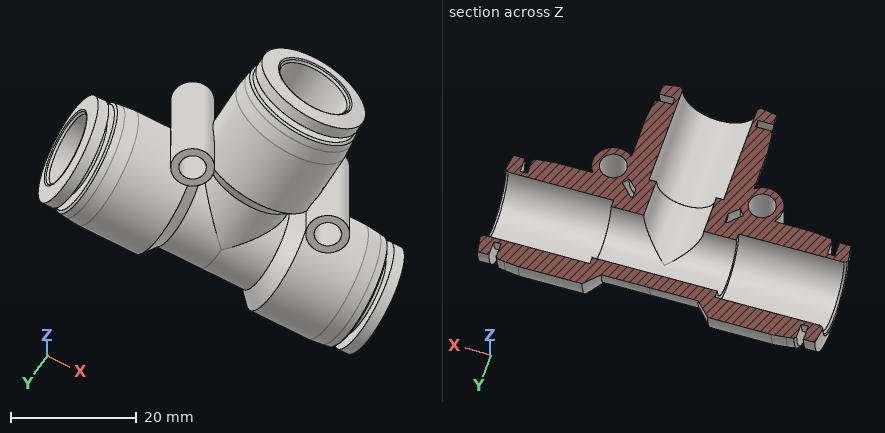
import cadquery as cq

run_half_length = 28.65
branch_length = 29.85
body_radius = 10.25
neck_radius = 7.75

ring_front = 0.45
ring_back = 2.4
body_face = 3.55
face_chamfer_end = 3.85
nose_end = 5.1
taper_end = 7.5
shoulder_start = 18.15
shoulder_end = 20.55

ring_radius = 9.55
ring_lip_radius = 6.75
collar_radius = 7.0
body_face_radius = 9.4
chamfer_radius = 9.85
nose_radius = 10.0

socket_radius = 6.2
lead_in_radius = 6.5
socket_depth = 18.15
bore_radius = 5.0
lead_in_mid_depth = 0.2
lead_in_depth = 0.6

sleeve_x = 12.45
sleeve_y = -12.4
sleeve_radius = 3.5
sleeve_hole_radius = 2.2


def revolved_about_x(profile):
    """Revolve an (x, radius) outline about the X axis."""
    return cq.Workplane("XY").polyline(profile).close().revolve(360, (0, 0, 0), (1, 0, 0))


def port_body(length):
    """Solid port along +X, from the tee centre to its open end."""
    outline = [
        (0, ring_lip_radius),
        (ring_front, ring_radius),
        (ring_back, ring_radius),
        (ring_back, collar_radius),
        (body_face, collar_radius),
        (body_face, body_face_radius),
        (face_chamfer_end, chamfer_radius),
        (nose_end, nose_radius),
        (taper_end, body_radius),
        (shoulder_start, body_radius),
        (shoulder_end, neck_radius),
        (length, neck_radius),
    ]
    profile = [(length - depth, radius) for depth, radius in outline]
    return revolved_about_x([(length, 0)] + profile + [(0, 0)])


def port_passage(length):
    """Stepped passage along +X, from the tee centre to the open end."""
    return revolved_about_x([
        (length, 0),
        (length, ring_lip_radius),
        (length - lead_in_mid_depth, lead_in_radius),
        (length - lead_in_depth, socket_radius),
        (length - socket_depth, socket_radius),
        (length - socket_depth, bore_radius),
        (0, bore_radius),
        (0, 0),
    ])


def tee(make_port):
    """Join two run ports and the branch port made by the given function."""
    run_port = make_port(run_half_length)
    opposite_port = run_port.mirror("YZ")
    branch_port = make_port(branch_length).rotate((0, 0, 0), (0, 0, 1), -90)
    return run_port.union(opposite_port).union(branch_port)


def sleeve_cylinders(radius):
    """Vertical cylinders at both sleeve positions, as tall as the bodies."""
    return (
        cq.Workplane("XY", origin=(0, 0, -body_radius))
        .pushPoints([(-sleeve_x, sleeve_y), (sleeve_x, sleeve_y)])
        .circle(radius)
        .extrude(2 * body_radius)
    )


fitting = tee(port_body).union(sleeve_cylinders(sleeve_radius))
result = fitting.cut(tee(port_passage)).cut(sleeve_cylinders(sleeve_hole_radius))